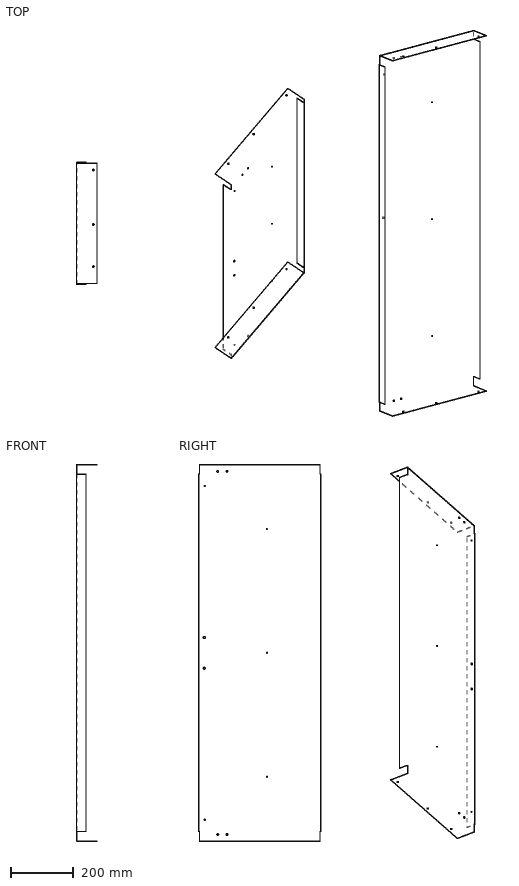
import cadquery as cq

DEPTH = 66.0
WIDTH = 391.0
HEIGHT = 1202.0

SHEET = 1.5
INNER_RADIUS = 1.5
OUTER_RADIUS = INNER_RADIUS + SHEET

SIDE_FLANGE_DEPTH = 31.0
SIDE_FLANGE_END_GAP = 31.0
SIDE_FLANGE_LENGTH = HEIGHT - 2 * SIDE_FLANGE_END_GAP
END_WIDTH = WIDTH - 2 * OUTER_RADIUS

ROW_HOLE_DIAMETER = 2.5
ROW_HOLE_Y = 23.0
ROW_HOLE_PITCH = 395.0
CORNER_HOLE_DIAMETER = 5.0
CORNER_HOLE_YS = (-104.5, -134.0)
CORNER_HOLE_Z = 579.0
EDGE_HOLE_DIAMETER = 3.0
EDGE_HOLE_Y = -175.5
EDGE_HOLE_Z = 532.0
LATCH_HOLE_DIAMETER = 6.0
LATCH_HOLE_Y = -177.0
LATCH_HOLE_Z = 49.0

FLANGE_HOLE_DIAMETER = 4.5
FLANGE_HOLE_X = 54.0
FLANGE_HOLE_YS = (170.0, -4.0, -138.0)


def bent_channel(depth, across, length):
    """U-shaped sheet: web on X = 0, flanges at +/- across / 2 in Y, extruded along Z about mid-length."""
    outside = (
        cq.Workplane("XY")
        .box(depth, across, length, centered=(False, True, True))
        .edges("|Z and <X")
        .fillet(OUTER_RADIUS)
    )
    inside = (
        cq.Workplane("XY")
        .box(depth, across - 2 * SHEET, length, centered=(False, True, True))
        .edges("|Z and <X")
        .fillet(INNER_RADIUS)
        .translate((SHEET, 0, 0))
    )
    return outside.cut(inside)


def folded_sheet():
    """Panel with deep flanges at its ends and shallow flanges along its sides."""
    end_channel = bent_channel(DEPTH, HEIGHT, END_WIDTH).rotate((0, 0, 0), (1, 0, 0), 90)
    side_channel = bent_channel(SIDE_FLANGE_DEPTH, WIDTH, SIDE_FLANGE_LENGTH)
    return end_channel.union(side_channel)


def panel_holes(diameter, points):
    """Cutters through the panel at the given (Y, Z) points."""
    return cq.Workplane("YZ").pushPoints(points).circle(diameter / 2).extrude(SHEET)


def mirrored(ys, z):
    """Points at each Y, both above and below mid-height."""
    return [(y, side * z) for y in ys for side in (1, -1)]


def flange_holes():
    """Cutters through both end flanges."""
    points = [(FLANGE_HOLE_X, y) for y in FLANGE_HOLE_YS]
    return cq.Workplane("XY").pushPoints(points).circle(FLANGE_HOLE_DIAMETER / 2).extrude(HEIGHT / 2, both=True)


row_points = [(ROW_HOLE_Y, step * ROW_HOLE_PITCH) for step in (-1, 0, 1)]

result = (
    folded_sheet()
    .cut(panel_holes(ROW_HOLE_DIAMETER, row_points))
    .cut(panel_holes(CORNER_HOLE_DIAMETER, mirrored(CORNER_HOLE_YS, CORNER_HOLE_Z)))
    .cut(panel_holes(EDGE_HOLE_DIAMETER, mirrored([EDGE_HOLE_Y], EDGE_HOLE_Z)))
    .cut(panel_holes(LATCH_HOLE_DIAMETER, mirrored([LATCH_HOLE_Y], LATCH_HOLE_Z)))
    .cut(flange_holes())
)